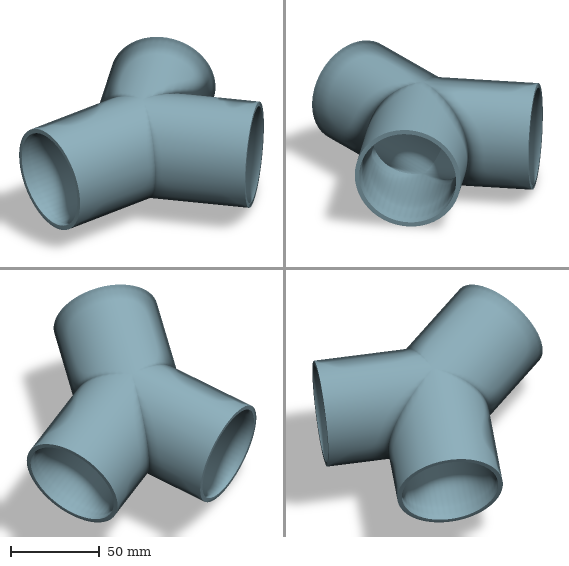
import cadquery as cq
import math

span = 133.2
outer_diameter = 60.3
bore_diameter = 55.1
stem_length = 64.0
crotch_fillet = 3.0
branch_angle = 45.0
flat_tolerance = 0.01

outer_radius = outer_diameter / 2
lean = math.radians(branch_angle)
branch_length = (span / 2 - outer_radius * math.cos(lean)) / math.sin(lean)

arms = [
    (180.0, stem_length),
    (branch_angle, branch_length),
    (-branch_angle, branch_length),
]


def cylinder_along(angle, length, diameter):
    """Round bar from the origin, lying in the XY plane."""
    bar = cq.Workplane("XZ").circle(diameter / 2).extrude(-length)
    return bar.rotate((0, 0, 0), (0, 0, 1), -angle)


def sector(start_angle, end_angle):
    """Wedge with its tip on the Z axis, holding one arm, bounded by its two mitre planes."""
    reach = 2 * span
    middle_angle = (start_angle + end_angle) / 2
    corners = [(0, 0)]
    for angle in (start_angle, middle_angle, end_angle):
        direction = math.radians(angle)
        corners.append((reach * math.sin(direction), reach * math.cos(direction)))
    return cq.Workplane("XY").workplane(offset=-span).polyline(corners).close().extrude(2 * span)


stem_mitre = (180.0 + branch_angle) / 2
sectors = [
    sector(stem_mitre, 360.0 - stem_mitre),
    sector(0.0, stem_mitre),
    sector(-stem_mitre, 0.0),
]


def mitred_body(diameter):
    """Three bars of one diameter, joined edge to edge on the mitre planes."""
    body = None
    for (angle, length), wedge in zip(arms, sectors):
        back = cylinder_along(angle + 180.0, diameter, diameter)
        bar = cylinder_along(angle, length, diameter).union(back).intersect(wedge)
        body = bar if body is None else body.union(bar)
    return body


def rounded_bores():
    """Joined bores, with the edge where the two branch bores meet rounded."""
    bores = mitred_body(bore_diameter)
    crotch_edges = bores.edges().filter(lambda edge: edge.BoundingBox().xlen < flat_tolerance)
    return crotch_edges.fillet(crotch_fillet)


result = mitred_body(outer_diameter).cut(rounded_bores())